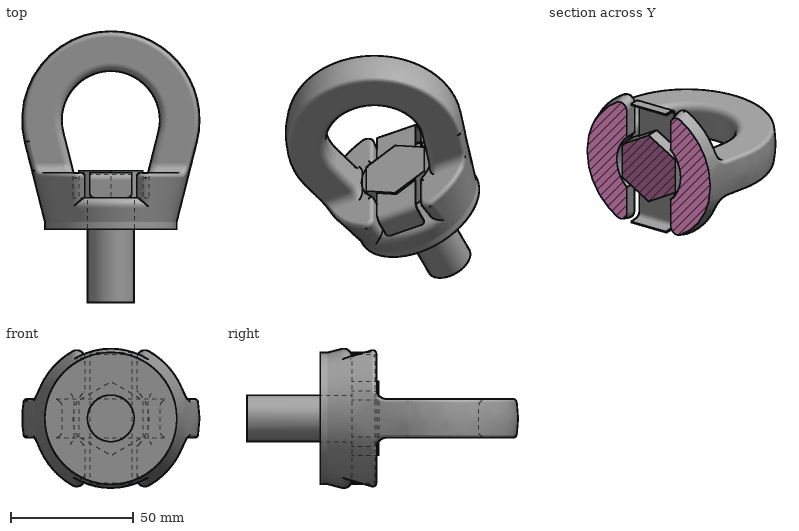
import cadquery as cq
import math


overall_length = 111.0
base_radius = 27.0
base_rim_height = 3.0
base_height = 23.1
sphere_radius = 36.35
ring_thickness = 16.0
neck_radius = 4.0
outer_edge_radius = 1.5

opening_radius = 20.0
opening_edge_radius = 3.3

notch_width = 21.2
notch_floor = 13.0
notch_edge_radius = 3.3

shank_diameter = 19.1
shank_length = 30.0
head_corner_diameter = 30.2
head_top = 24.0
head_clearance = 0.4

clip_width = 17.2
clip_thickness = 0.7
clip_bend_radius = 3.0
clip_corner_radius = 1.8

ring_top = overall_length - shank_length
ring_center = ring_top - sphere_radius
ring_half = ring_thickness / 2
beyond = 2 * sphere_radius
tolerance = 0.01

center_rise = ring_center - base_rim_height
wall_tilt = math.atan2(center_rise, base_radius) - math.acos(
    sphere_radius / math.hypot(base_radius, center_rise)
)


def tangent_point(radius):
    """Point where a wall tilted by wall_tilt touches a circle about the ring center."""
    return (radius * math.cos(wall_tilt), ring_center - radius * math.sin(wall_tilt))


def slab_below(height, width):
    """Block in the height range 0 to height, with a Z width, that is wider than the eye in X."""
    return cq.Workplane("XY").box(beyond, height, width, centered=(True, False, True))


def turned_blank():
    """Rim, cone and sphere turned about the Y axis."""
    return (
        cq.Workplane("XY")
        .lineTo(base_radius, 0)
        .lineTo(base_radius, base_rim_height)
        .lineTo(*tangent_point(sphere_radius))
        .threePointArc((sphere_radius, ring_center), (0, ring_top))
        .close()
        .revolve(360, (0, 0), (0, 1))
    )


def necked_slab():
    """Base block and ring slab, joined by concave neck rounds."""

    def is_neck_corner(edge):
        center = edge.Center()
        at_base_top = abs(center.y - base_height) < tolerance
        return at_base_top and abs(abs(center.z) - ring_half) < tolerance

    block = slab_below(base_height, beyond)
    ring_slab = slab_below(ring_top, ring_thickness)
    return block.union(ring_slab).edges("|X").filter(is_neck_corner).fillet(neck_radius)


def cut_notch(body):
    """Leave a floor and two cheeks beside the notch; their rounded mouth edges meet in mitres."""
    floor = body.intersect(slab_below(notch_floor, beyond))
    floor = floor.faces(">Y").edges().fillet(notch_edge_radius)

    def is_wall_edge(edge):
        box = edge.BoundingBox()
        on_wall = abs(abs(edge.Center().x) - notch_width / 2) < tolerance and box.xlen < tolerance
        beside_base = box.ymax < base_height + tolerance and box.ylen > tolerance
        return on_wall and beside_base

    above_rim = body.cut(slab_below(base_rim_height, beyond))
    trench = cq.Workplane("XY").box(notch_width, ring_center, beyond, centered=(True, False, True))
    cheeks = above_rim.cut(trench).edges().filter(is_wall_edge).fillet(notch_edge_radius)
    return cheeks.union(floor)


def round_outer_edges(body):
    """Round the outer edges of the ring, the necks and the base top."""

    def is_outer_edge(edge):
        box = edge.BoundingBox()
        above_base = box.ymin > base_height - tolerance
        on_flank = abs(edge.Center().z) > ring_half - tolerance
        on_notch_wall = box.xlen < tolerance
        return above_base and on_flank and not on_notch_wall and edge.geomType() != "LINE"

    return body.edges().filter(is_outer_edge).fillet(outer_edge_radius)


def opened_slab():
    """Necked slab with the rounded teardrop opening, which ends at a floor on the base top."""
    tangent_x, tangent_y = tangent_point(opening_radius)
    foot_x = tangent_x - tangent_y * math.tan(wall_tilt)
    opening = (
        cq.Workplane("XY")
        .moveTo(-foot_x, 0)
        .lineTo(foot_x, 0)
        .lineTo(tangent_x, tangent_y)
        .threePointArc((0, ring_center + opening_radius), (-tangent_x, tangent_y))
        .close()
        .extrude(beyond, both=True)
    )

    def is_opening_arc(edge):
        return edge.geomType() == "CIRCLE" and abs(abs(edge.Center().z) - ring_half) < tolerance

    slab = necked_slab().cut(opening)
    slab = slab.edges().filter(is_opening_arc).fillet(opening_edge_radius)
    return slab.union(slab_below(base_height, beyond))


def bolt_bore():
    """Shank hole and the counterbore that takes the bolt head."""
    shank_hole = cq.Workplane("XZ").circle(shank_diameter / 2).extrude(-base_height)
    head_radius = head_corner_diameter / 2 + head_clearance
    head_hole = (
        cq.Workplane("XZ", origin=(0, notch_floor, 0))
        .circle(head_radius)
        .extrude(notch_floor - base_height)
    )
    return shank_hole.union(head_hole)


def make_eye():
    body = turned_blank().intersect(necked_slab())
    body = cut_notch(body)
    body = round_outer_edges(body)
    return body.intersect(opened_slab()).cut(bolt_bore())


def make_clip():
    """U-shaped strip flush with the base top; its tabs reach down to the notch floor."""
    tab_length = base_height - notch_floor
    bend_inner_radius = clip_bend_radius - clip_thickness

    def rounded_block(height, span, bend_radius):
        block = cq.Workplane("XY").box(clip_width, height, span, centered=(True, False, True))
        return block.translate((0, notch_floor, 0)).faces(">Y").edges("|X").fillet(bend_radius)

    outside = rounded_block(tab_length, 2 * base_radius, clip_bend_radius)
    inside = rounded_block(
        tab_length - clip_thickness, 2 * (base_radius - clip_thickness), bend_inner_radius
    )
    return outside.cut(inside).faces("<Y").edges("|Z").fillet(clip_corner_radius)


def make_bolt(clip):
    """Shank and hexagon head, slotted for the clip; two head corners point along Z."""
    shank = (
        cq.Workplane("XZ", origin=(0, -shank_length, 0))
        .circle(shank_diameter / 2)
        .extrude(-(shank_length + notch_floor))
    )
    head = (
        cq.Workplane("XZ", origin=(0, notch_floor, 0))
        .transformed(rotate=(0, 0, 90))
        .polygon(6, head_corner_diameter)
        .extrude(notch_floor - head_top)
    )
    return shank.union(head).cut(clip)


eye = make_eye()
clip = make_clip()
bolt = make_bolt(clip)

result = cq.Compound.makeCompound([eye.solids().val(), clip.solids().val(), bolt.solids().val()])